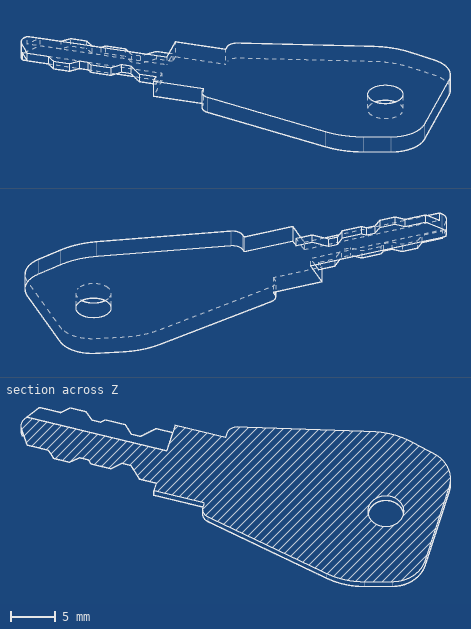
import cadquery as cq

length = 48.75
thickness = 2.0

blade_length = 16.75
tip_half_width = 0.7
tip_round_depth = 0.2
shoulder_x = 1.4
root_half_width = 2.6
crest_half_width = 3.45
low_crest_half_width = 3.0
deep_cut_half_width = 2.0
step_y = 0.97
step_z = thickness / 2

neck_end = 22.65
neck_half_width = 4.5

heel_half_width = 5.95
apex_x = 40.7
apex_half_width = 10.25
end_half_width = 7.95
heel_radius = 1.2
apex_radius = 8.7
end_radius = 3.9
hole_x = 42.7
hole_diameter = 4.0

bitting = [
    (shoulder_x, root_half_width),
    (3.9, root_half_width),
    (4.8, crest_half_width),
    (6.65, crest_half_width),
    (7.55, root_half_width),
    (8.6, root_half_width),
    (9.0, low_crest_half_width),
    (11.35, low_crest_half_width),
    (12.35, deep_cut_half_width),
    (13.4, deep_cut_half_width),
    (14.8, crest_half_width),
    (blade_length, crest_half_width),
]


def mirrored(points):
    """Reflect points across the key axis, in reverse order."""
    return [(x, -y) for x, y in reversed(points)]


def block(x_start, x_end, y_start, y_end, z_start, z_end):
    """Box between the given limits."""
    size = (x_end - x_start, y_end - y_start, z_end - z_start)
    return cq.Workplane("XY").box(*size, centered=False).translate((x_start, y_start, z_start))


def make_blade():
    """Bitted blade with opposite edges thinned to a Z-shaped section."""
    blade = (
        cq.Workplane("XY")
        .moveTo(tip_round_depth, -tip_half_width)
        .threePointArc((0, 0), (tip_round_depth, tip_half_width))
    )
    for point in bitting + mirrored(bitting):
        blade = blade.lineTo(*point)
    blade = blade.close().extrude(thickness)

    upper_step = block(0, blade_length, step_y, crest_half_width, step_z, thickness)
    lower_step = block(0, blade_length, -crest_half_width, -step_y, 0, step_z)
    return blade.cut(upper_step).cut(lower_step)


def make_head():
    """Tapered, rounded grip with a hole for a key ring."""
    upper_corners = [
        (neck_end, heel_half_width),
        (apex_x, apex_half_width),
        (length, end_half_width),
    ]
    head = cq.Workplane("XY").polyline(upper_corners + mirrored(upper_corners)).close().extrude(thickness)
    head = head.edges("|Z and <X").fillet(heel_radius)
    head = head.edges("|Z and >X").fillet(end_radius)
    head = head.edges("|Z and (<Y or >Y)").fillet(apex_radius)
    hole = cq.Workplane("XY").center(hole_x, 0).circle(hole_diameter / 2).extrude(thickness)
    return head.cut(hole)


neck = block(blade_length, neck_end, -neck_half_width, neck_half_width, 0, thickness)
result = make_blade().union(neck).union(make_head()).clean()